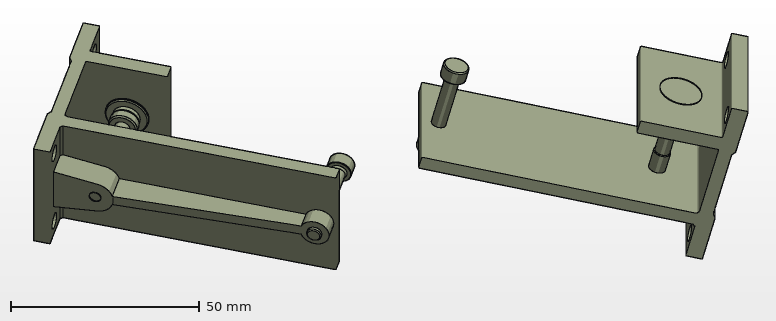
import cadquery as cq
import math

LENGTH = 80.5
WIDTH = 50.0
HEIGHT = 34.0
PLATE_THICKNESS = 4.6

LONG_ARM_FRONT = 10.55
LONG_ARM_THICKNESS = 3.7
LONG_ARM_BACK = LONG_ARM_FRONT + LONG_ARM_THICKNESS
SHORT_ARM_FRONT = 36.0
SHORT_ARM_THICKNESS = 4.0
SHORT_ARM_BACK = SHORT_ARM_FRONT + SHORT_ARM_THICKNESS
SHORT_ARM_REACH = 27.05

RELIEF_DEPTH = 0.8
RELIEF_START = 13.9
RELIEF_END = 36.2
RELIEF_SLOPE = 1.1

OUTER_ROUND = 0.25
ARM_TIP_ROUND = 0.4
SMALL_CORNER_FILLET = 0.4
FRONT_CORNER_CHAMFER = 0.65
LARGE_CORNER_FILLET = 1.1

MOUNT_HOLE_DIAMETER = 4.5
MOUNT_HOLE_START = 4.35
MOUNT_HOLE_PITCH_Y = 40.0
MOUNT_HOLE_PITCH_Z = 24.95

SPINDLE_X = 16.0
BOSS_FACE = 3.5
BOSS_RADIUS = 5.0
BOSS_ROOT_HALF_HEIGHT = 6.35
BOSS_ROOT_LENGTH = 0.6

SCREW_X = 75.9
EYE_FACE = 5.8
EYE_DIAMETER = 8.0

RIB_THICKNESS = 3.0
RIB_SLOPE_START = 20.9
RIB_SLOPE_END = 70.35

JOURNAL_DIAMETER = 3.2
JOURNAL_RECESS = 0.3
SLEEVE_DIAMETER = 4.7
SLEEVE_END = 20.05
SHAFT_DIAMETER = 4.2
COLLAR_DIAMETER = 8.0
COLLAR_START = 31.0
COLLAR_CHAMFER = 0.4
COLLAR_END = 33.4
COLLAR_TAPER_LENGTH = 0.6
NECK_DIAMETER = 7.6
FLANGE_DIAMETER = 12.0
FLANGE_START = 35.2
FLANGE_CHAMFER = 0.3
SEAT_DIAMETER = 11.5
SEAT_PROJECTION = 0.25

SCREW_DIAMETER = 4.0
SCREW_TIP = 4.75
SCREW_TIP_CHAMFER = 0.3
SCREW_NECK_DIAMETER = 4.7
SCREW_NECK_LENGTH = 0.7
SCREW_HEAD_DIAMETER = 7.0
SCREW_HEAD_START = 29.9
SCREW_HEAD_END = 33.8
SCREW_HEAD_TOP_CHAMFER = 0.3
SCREW_HEAD_BOTTOM_CHAMFER = 0.2


def cylinder_y(x, diameter, y_start, y_end):
    """Cylinder along Y at the given X and at mid height."""
    axis_start = cq.Vector(x, y_start, 0)
    axis = cq.Vector(0, 1, 0)
    return cq.Workplane(cq.Solid.makeCylinder(diameter / 2, y_end - y_start, axis_start, axis))


def turned_y(x, stations):
    """Solid of revolution about a Y axis at the given X; stations are (radius, y) pairs."""
    profile = [(0, stations[0][1]), *stations, (0, stations[-1][1])]
    solid = cq.Workplane("XY").polyline(profile).close().revolve(360, (0, 0, 0), (0, 1, 0))
    return solid.translate((x, 0, 0))


def upright_edges_at(body, corners):
    """Select the Z edges that pass through the given (x, y) corners."""
    edges = body.edges("|Z").vals()
    chosen = [
        edge for edge in edges
        if any(math.dist((edge.Center().x, edge.Center().y), corner) < 0.01 for corner in corners)
    ]
    return body.newObject(chosen)


def make_profile_body():
    body = (
        cq.Workplane("XY")
        .polyline([
            (0, 0),
            (PLATE_THICKNESS, 0),
            (PLATE_THICKNESS, LONG_ARM_FRONT),
            (LENGTH, LONG_ARM_FRONT),
            (LENGTH, LONG_ARM_BACK),
            (PLATE_THICKNESS, LONG_ARM_BACK),
            (PLATE_THICKNESS, SHORT_ARM_FRONT),
            (SHORT_ARM_REACH, SHORT_ARM_FRONT),
            (SHORT_ARM_REACH, SHORT_ARM_BACK),
            (PLATE_THICKNESS, SHORT_ARM_BACK),
            (PLATE_THICKNESS, WIDTH),
            (0, WIDTH),
            (0, RELIEF_END),
            (RELIEF_DEPTH, RELIEF_END - RELIEF_SLOPE),
            (RELIEF_DEPTH, RELIEF_START + RELIEF_SLOPE),
            (0, RELIEF_START),
        ])
        .close()
        .extrude(HEIGHT / 2, both=True)
    )
    plate_corners = [(x, y) for x in (0, PLATE_THICKNESS) for y in (0, WIDTH)]
    arm_tips = [
        (LENGTH, LONG_ARM_FRONT),
        (LENGTH, LONG_ARM_BACK),
        (SHORT_ARM_REACH, SHORT_ARM_FRONT),
        (SHORT_ARM_REACH, SHORT_ARM_BACK),
    ]
    short_arm_roots = [(PLATE_THICKNESS, SHORT_ARM_FRONT), (PLATE_THICKNESS, SHORT_ARM_BACK)]
    body = upright_edges_at(body, plate_corners).fillet(OUTER_ROUND)
    body = upright_edges_at(body, arm_tips).fillet(ARM_TIP_ROUND)
    body = upright_edges_at(body, short_arm_roots).fillet(SMALL_CORNER_FILLET)
    body = upright_edges_at(body, [(PLATE_THICKNESS, LONG_ARM_BACK)]).fillet(LARGE_CORNER_FILLET)
    return upright_edges_at(body, [(PLATE_THICKNESS, LONG_ARM_FRONT)]).chamfer(FRONT_CORNER_CHAMFER)


def make_boss():
    """Boss with a short straight root that tapers to tangency with its round end."""
    root_end_x = PLATE_THICKNESS + BOSS_ROOT_LENGTH
    root_offset = SPINDLE_X - root_end_x
    root_distance = math.hypot(root_offset, BOSS_ROOT_HALF_HEIGHT)
    root_angle = math.pi - math.atan2(BOSS_ROOT_HALF_HEIGHT, root_offset)
    tangent_angle = root_angle - math.acos(BOSS_RADIUS / root_distance)
    tangent_x = SPINDLE_X + BOSS_RADIUS * math.cos(tangent_angle)
    tangent_z = BOSS_RADIUS * math.sin(tangent_angle)
    return (
        cq.Workplane("XZ", origin=(0, LONG_ARM_FRONT, 0))
        .moveTo(PLATE_THICKNESS, -BOSS_ROOT_HALF_HEIGHT)
        .lineTo(root_end_x, -BOSS_ROOT_HALF_HEIGHT)
        .lineTo(tangent_x, -tangent_z)
        .threePointArc((SPINDLE_X + BOSS_RADIUS, 0), (tangent_x, tangent_z))
        .lineTo(root_end_x, BOSS_ROOT_HALF_HEIGHT)
        .lineTo(PLATE_THICKNESS, BOSS_ROOT_HALF_HEIGHT)
        .close()
        .extrude(LONG_ARM_FRONT - BOSS_FACE)
    )


def make_rib():
    return (
        cq.Workplane("XY")
        .polyline([
            (SPINDLE_X, LONG_ARM_FRONT),
            (SPINDLE_X, BOSS_FACE),
            (RIB_SLOPE_START, BOSS_FACE),
            (RIB_SLOPE_END, EYE_FACE),
            (SCREW_X, EYE_FACE),
            (SCREW_X, LONG_ARM_FRONT),
        ])
        .close()
        .extrude(RIB_THICKNESS / 2, both=True)
    )


def make_mount_holes():
    return (
        cq.Workplane("YZ", origin=(0, MOUNT_HOLE_START + MOUNT_HOLE_PITCH_Y / 2, 0))
        .rarray(MOUNT_HOLE_PITCH_Y, MOUNT_HOLE_PITCH_Z, 2, 2)
        .circle(MOUNT_HOLE_DIAMETER / 2)
        .extrude(PLATE_THICKNESS)
    )


def make_bracket():
    eye = cylinder_y(SCREW_X, EYE_DIAMETER, EYE_FACE, LONG_ARM_FRONT)
    journal_hole = cylinder_y(SPINDLE_X, JOURNAL_DIAMETER, BOSS_FACE, LONG_ARM_BACK)
    seat_hole = cylinder_y(SPINDLE_X, SEAT_DIAMETER, SHORT_ARM_FRONT, SHORT_ARM_BACK)
    screw_hole = cylinder_y(SCREW_X, SCREW_DIAMETER, EYE_FACE, LONG_ARM_BACK)
    return (
        make_profile_body()
        .union(make_boss())
        .union(make_rib())
        .union(eye)
        .cut(make_mount_holes())
        .cut(journal_hole)
        .cut(seat_hole)
        .cut(screw_hole)
    )


def make_spindle():
    """Stepped spindle whose shoulder rests on the long arm and whose seat fills the short arm."""
    journal = JOURNAL_DIAMETER / 2
    sleeve = SLEEVE_DIAMETER / 2
    shaft = SHAFT_DIAMETER / 2
    collar = COLLAR_DIAMETER / 2
    neck = NECK_DIAMETER / 2
    flange = FLANGE_DIAMETER / 2
    seat = SEAT_DIAMETER / 2
    return turned_y(SPINDLE_X, [
        (journal, BOSS_FACE + JOURNAL_RECESS),
        (journal, LONG_ARM_BACK),
        (sleeve, LONG_ARM_BACK),
        (sleeve, SLEEVE_END - (sleeve - shaft)),
        (shaft, SLEEVE_END),
        (shaft, COLLAR_START),
        (collar - COLLAR_CHAMFER, COLLAR_START),
        (collar, COLLAR_START + COLLAR_CHAMFER),
        (collar, COLLAR_END),
        (neck, COLLAR_END + COLLAR_TAPER_LENGTH),
        (neck, FLANGE_START),
        (flange - FLANGE_CHAMFER, FLANGE_START),
        (flange, FLANGE_START + FLANGE_CHAMFER),
        (flange, SHORT_ARM_FRONT),
        (seat, SHORT_ARM_FRONT),
        (seat, SHORT_ARM_BACK + SEAT_PROJECTION),
    ])


def make_screw():
    """Headed screw through the eye, with a conical neck under the head."""
    shank = SCREW_DIAMETER / 2
    head = SCREW_HEAD_DIAMETER / 2
    return turned_y(SCREW_X, [
        (shank - SCREW_TIP_CHAMFER, SCREW_TIP),
        (shank, SCREW_TIP + SCREW_TIP_CHAMFER),
        (shank, SCREW_HEAD_START - SCREW_NECK_LENGTH),
        (SCREW_NECK_DIAMETER / 2, SCREW_HEAD_START),
        (head - SCREW_HEAD_BOTTOM_CHAMFER, SCREW_HEAD_START),
        (head, SCREW_HEAD_START + SCREW_HEAD_BOTTOM_CHAMFER),
        (head, SCREW_HEAD_END - SCREW_HEAD_TOP_CHAMFER),
        (head - SCREW_HEAD_TOP_CHAMFER, SCREW_HEAD_END),
    ])


bracket = make_bracket()
spindle = make_spindle()
screw = make_screw()

result = cq.Compound.makeCompound([bracket.val(), spindle.val(), screw.val()])